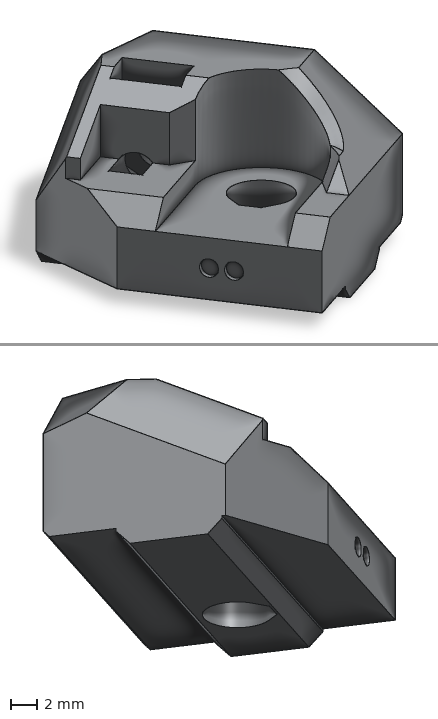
import cadquery as cq
import math

LENGTH = 24.5
WIDTH = 20.0
HEIGHT = 14.4
BASE_Z = 1.35
REAR_BOTTOM_CHAMFER = 0.5
CORNER_CUT_X = 8.2
CORNER_CUT_Y = 5.5

RAIL_FRONT = 5.75
RAIL_REAR = 14.2
RAIL_BEVEL = 1.13

SHELF_Z = 8.4
SHELF_BEVEL = 2.0
POCKET_FLOOR_Z = SHELF_Z - SHELF_BEVEL
POCKET_X = 16.5
POCKET_Y = 9.95
POCKET_RADIUS = 5.25
BORE_RADIUS = 2.65
BORE_FLAT_OFFSET = 2.87

SLOPE_TOP_X = 17.5
SLOPE_RATIO = (HEIGHT - SHELF_Z) / (LENGTH - SLOPE_TOP_X)
RIM_WIDTH = 0.98
RIM_DEPTH = 1.13
RIM_FRONT_Y = 6.7
RIM_LOW_Z = 10.05
FLARE_REAR_Y = 12.15
RAMP_RATIO = 0.5

COVER_TOP_Y = 12.0
COVER_FRONT_Y = 8.5
COVER_INNER_X = 9.65
WALL_INNER_X = 4.16
WALL_FRONT_Y = 3.5
REAR_BEVEL_TOP_X = 4.65
REAR_BEVEL_LOW_Z = 9.78
BEVEL_MEET_X = 2.5
BEVEL_MEET_Y = 14.14
SIDE_BEVEL_RATIO = 7.5 / 4.1

PIN_X = 6.98
PIN_Z = 7.45
PIN_RADIUS = 1.65
PIN_FRONT_Y = 5.93
NUT_FRONT_Y = 10.95
NUT_THICKNESS = 3.05
NUT_ACROSS_FLATS = 5.68

FRONT_HOLE_DIAMETER = 1.5
FRONT_HOLE_XS = (15.5, 17.5)
FRONT_HOLE_Z = 3.92
FRONT_HOLE_DEPTH = 0.5


def box(x0, x1, y0, y1, z0, z1):
    """Box between two limits on each axis."""
    return cq.Workplane("XY").box(x1 - x0, y1 - y0, z1 - z0, centered=False).translate((x0, y0, z0))


def space_above(point, slope_x, slope_y):
    """Large block above the plane through point with the given rises along X and Y."""
    size = 4 * LENGTH
    plane = cq.Plane(origin=point, xDir=(1, 0, slope_x), normal=(-slope_x, -slope_y, 1))
    return cq.Workplane(plane).rect(size, size).extrude(size)


def side_profile_body():
    """Block with the bottom rail, rear bottom chamfer and front shelf bevel, extruded along X."""
    outline = [
        (0, BASE_Z),
        (RAIL_FRONT, BASE_Z),
        (RAIL_FRONT, RAIL_BEVEL),
        (RAIL_FRONT + RAIL_BEVEL, 0),
        (RAIL_REAR - RAIL_BEVEL, 0),
        (RAIL_REAR, RAIL_BEVEL),
        (RAIL_REAR, BASE_Z),
        (WIDTH - REAR_BOTTOM_CHAMFER, BASE_Z),
        (WIDTH, BASE_Z + REAR_BOTTOM_CHAMFER),
        (WIDTH, HEIGHT),
        (WALL_FRONT_Y, HEIGHT),
        (WALL_FRONT_Y, SHELF_Z),
        (SHELF_BEVEL, SHELF_Z),
        (0, POCKET_FLOOR_Z),
    ]
    return cq.Workplane("YZ").polyline(outline).close().extrude(LENGTH)


def front_corner_cut():
    """Wedge that cuts the front left corner in plan."""
    corner = [(0, 0), (CORNER_CUT_X, 0), (0, CORNER_CUT_Y)]
    return cq.Workplane("XY").polyline(corner).close().extrude(HEIGHT)


def left_bevels():
    """Two facets on the left: a side facet falling forward and a rear corner facet."""
    side = space_above((BEVEL_MEET_X, BEVEL_MEET_Y, HEIGHT), SIDE_BEVEL_RATIO, RAMP_RATIO)
    slope_x = (HEIGHT - REAR_BEVEL_LOW_Z) / REAR_BEVEL_TOP_X
    slope_y = -slope_x * (BEVEL_MEET_X - REAR_BEVEL_TOP_X) / (BEVEL_MEET_Y - WIDTH)
    rear = space_above((REAR_BEVEL_TOP_X, WIDTH, HEIGHT), slope_x, slope_y)
    return side.union(rear)


def cover_cuts():
    """Ramp on the left cover and the open recess in front of it."""
    ramp = space_above((0, COVER_TOP_Y, HEIGHT), 0, RAMP_RATIO)
    ramp = ramp.intersect(box(0, POCKET_X, 0, COVER_TOP_Y, SHELF_Z, HEIGHT))
    pocket_left = POCKET_X - POCKET_RADIUS
    recess = [
        (WALL_INNER_X, 0),
        (POCKET_X, 0),
        (POCKET_X, POCKET_Y),
        (pocket_left, POCKET_Y),
        (COVER_INNER_X, COVER_FRONT_Y),
        (WALL_INNER_X, COVER_FRONT_Y),
    ]
    recess = cq.Workplane("XY").workplane(offset=SHELF_Z).polyline(recess).close().extrude(HEIGHT)
    return ramp.union(recess)


def pocket_and_bore():
    """Round-ended pocket open to the front, with a flat-tipped teardrop bore through its floor."""
    depth = HEIGHT - POCKET_FLOOR_Z
    pocket = cq.Workplane("XY").circle(POCKET_RADIUS).extrude(depth)
    pocket = pocket.union(box(-POCKET_RADIUS, POCKET_RADIUS, -POCKET_Y, 0, 0, depth))
    pocket = pocket.translate((POCKET_X, POCKET_Y, POCKET_FLOOR_Z))

    tangent = BORE_RADIUS * math.sqrt(0.5)
    half_flat = 2 * tangent - BORE_FLAT_OFFSET
    bore = (
        cq.Workplane("XY")
        .moveTo(tangent, -tangent)
        .threePointArc((0, BORE_RADIUS), (-tangent, -tangent))
        .lineTo(-half_flat, -BORE_FLAT_OFFSET)
        .lineTo(half_flat, -BORE_FLAT_OFFSET)
        .close()
        .extrude(HEIGHT)
        .translate((POCKET_X, POCKET_Y, 0))
    )
    return pocket.union(bore)


def slope_rim():
    """Flare of constant depth where the pocket wall meets the right-hand slope."""
    stretch = math.hypot(1, SLOPE_RATIO)
    z = HEIGHT - SLOPE_RATIO * (POCKET_X - SLOPE_TOP_X)
    top_radius = POCKET_RADIUS + RIM_WIDTH

    def ellipse(radius, level):
        plane = cq.Plane((POCKET_X, POCKET_Y, level), (1, 0, -SLOPE_RATIO), (SLOPE_RATIO, 0, 1))
        return cq.Workplane(plane).ellipse(radius * stretch, radius).wires().val()

    flare = cq.Solid.makeLoft([ellipse(POCKET_RADIUS, z - RIM_DEPTH), ellipse(top_radius, z)], True)
    region = box(POCKET_X - POCKET_RADIUS, LENGTH, POCKET_Y, WIDTH, RIM_LOW_Z, HEIGHT)
    return cq.Workplane(flare).intersect(region)


def front_ramp():
    """Forward ramp on the right wall, with the same kind of flare along the pocket below it."""
    z = SHELF_Z + RAMP_RATIO * (POCKET_Y - RIM_FRONT_Y)
    stretch = math.hypot(1, RAMP_RATIO)
    top_radius = POCKET_RADIUS + RIM_WIDTH

    def ellipse(radius, level):
        plane = cq.Plane((POCKET_X, POCKET_Y, level), (1, 0, 0), (0, -RAMP_RATIO, 1))
        return cq.Workplane(plane).ellipse(radius, radius * stretch).wires().val()

    flare = cq.Solid.makeLoft([ellipse(POCKET_RADIUS, z - RIM_WIDTH), ellipse(top_radius, z)], True)
    section = [
        (POCKET_X, z - RIM_WIDTH),
        (POCKET_X + POCKET_RADIUS, z - RIM_WIDTH),
        (POCKET_X + top_radius, z),
        (POCKET_X, z),
    ]
    run = cq.Workplane("XZ", origin=(0, POCKET_Y, 0)).polyline(section).close().wires().val()
    front_shift = cq.Vector(0, -POCKET_Y, -RAMP_RATIO * POCKET_Y)
    straight = cq.Solid.makeLoft([run, run.translate(front_shift)], True)
    ramp = space_above((0, RIM_FRONT_Y, SHELF_Z), 0, RAMP_RATIO)
    region = box(POCKET_X + POCKET_RADIUS / 2, LENGTH, 0, FLARE_REAR_Y, SHELF_Z, HEIGHT)
    return cq.Workplane(flare).union(cq.Workplane(straight)).union(ramp).intersect(region)


def pin_and_nut():
    """Pin bore along Y out through the rear, crossed by a nut trap open at the top."""
    pin = (
        cq.Workplane("XZ", origin=(PIN_X, PIN_FRONT_Y, PIN_Z))
        .circle(PIN_RADIUS)
        .extrude(-(WIDTH - PIN_FRONT_Y))
    )
    half = NUT_ACROSS_FLATS / 2
    slope = half * math.tan(math.pi / 6)
    trap_outline = [
        (-half, HEIGHT - PIN_Z),
        (-half, -slope),
        (0, -2 * slope),
        (half, -slope),
        (half, HEIGHT - PIN_Z),
    ]
    trap = (
        cq.Workplane("XZ", origin=(PIN_X, NUT_FRONT_Y, PIN_Z))
        .polyline(trap_outline)
        .close()
        .extrude(-NUT_THICKNESS)
    )
    return pin.union(trap)


def front_holes():
    """Pair of shallow blind holes in the front face."""
    centres = [(x, FRONT_HOLE_Z) for x in FRONT_HOLE_XS]
    return cq.Workplane("XZ").pushPoints(centres).circle(FRONT_HOLE_DIAMETER / 2).extrude(-FRONT_HOLE_DEPTH)


result = side_profile_body()
result = result.cut(front_corner_cut())
result = result.cut(left_bevels())
result = result.cut(cover_cuts())
result = result.cut(space_above((SLOPE_TOP_X, 0, HEIGHT), -SLOPE_RATIO, 0))
result = result.cut(front_ramp())
result = result.cut(slope_rim())
result = result.cut(pocket_and_bore())
result = result.cut(pin_and_nut())
result = result.cut(front_holes())